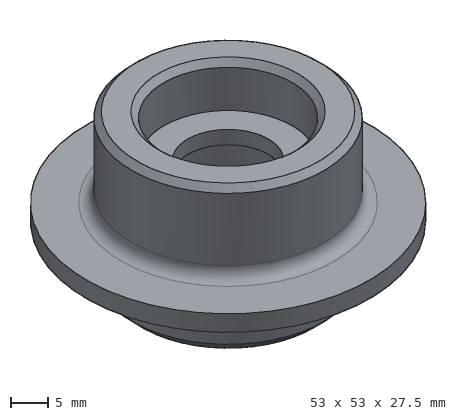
import cadquery as cq

flange_diameter = 53.0
height = 27.5
flange_thickness = 3.0
flange_bottom = 9.75
flange_top = flange_bottom + flange_thickness

hub_radius = 36.0 / 2
top_chamfer = 1.0
bottom_chamfer = 2.0
flange_fillet = 2.0

recess_diameter = 24.0
recess_depth = 8.0
recess_chamfer = 1.0
web_thickness = 2.5
hole_diameter = 15.0
web_bottom = height - recess_depth - web_thickness


def make_hub():
    """Chamfered cylinder standing on the XY plane."""
    hub = cq.Workplane("XY").circle(hub_radius).extrude(height)
    return hub.faces(">Z").chamfer(top_chamfer).faces("<Z").chamfer(bottom_chamfer)


def make_flange():
    """Thin round flange around the hub."""
    return (
        cq.Workplane("XY")
        .workplane(offset=flange_bottom)
        .circle(flange_diameter / 2)
        .extrude(flange_thickness)
    )


def make_fillet_ring():
    """Concave ring that blends the hub into the top of the flange."""
    arc_center_radius = hub_radius + flange_fillet
    arc_center_height = flange_top + flange_fillet
    arc_reach = flange_fillet / 2**0.5
    return (
        cq.Workplane("XZ")
        .moveTo(0, flange_top)
        .lineTo(arc_center_radius, flange_top)
        .threePointArc(
            (arc_center_radius - arc_reach, arc_center_height - arc_reach),
            (hub_radius, arc_center_height),
        )
        .lineTo(0, arc_center_height)
        .close()
        .revolve(360, (0, 0, 0), (0, 1, 0))
    )


def make_cylinder(diameter, bottom, top):
    """Upright cylinder on the Z axis between two heights."""
    return cq.Workplane("XY").workplane(offset=bottom).circle(diameter / 2).extrude(top - bottom)


def make_top_recess():
    """Upper recess, widened by a chamfer at its mouth."""
    recess = make_cylinder(recess_diameter, height - recess_depth, height)
    mouth = (
        cq.Workplane("XY")
        .workplane(offset=height)
        .circle(recess_diameter / 2 + recess_chamfer)
        .workplane(offset=-recess_chamfer)
        .circle(recess_diameter / 2)
        .loft()
    )
    return recess.union(mouth)


result = make_hub().union(make_flange()).union(make_fillet_ring())
result = result.cut(make_top_recess())
result = result.cut(make_cylinder(hole_diameter, 0, height))
result = result.cut(make_cylinder(recess_diameter, 0, web_bottom))